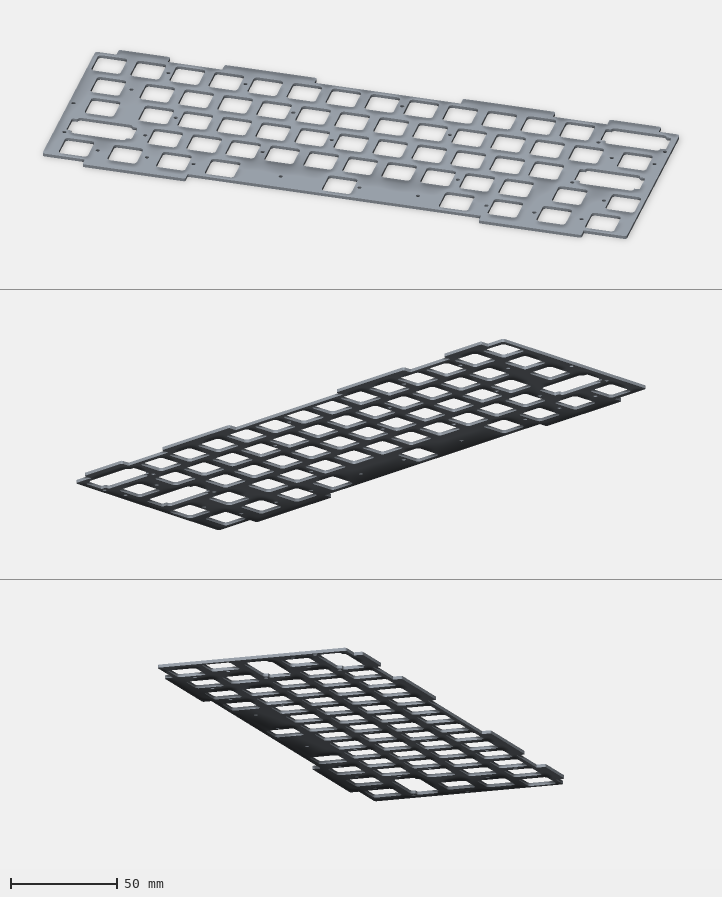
import cadquery as cq

plate_length = 285.5
overall_width = 104.2
thickness = 1.5
row_count = 5
columns = 15
end_trim = 0.3
key_pitch = (plate_length + end_trim) / columns
body_width = 95.5
plate_corner_radius = 1.0

rear_tabs = [(35.7, 80.8), (107.5, 132.5)]
front_tabs = [(71.7, 122.0)]
tab_corner_radius = 0.9

cutout_size = 14.3
cutout_corner_radius = 1.7

wide_body_length = 26.8
wide_wing_length = 32.0
wide_wing_width = 10.5
wing_corner_radius = 0.9
wing_shift = 0.3

hole_diameter = 2.0
stabiliser_hole_offset_x = 16.3
stabiliser_hole_offset_y = 7.0

switch_columns = [
    [0.5 + i for i in range(13)],
    [0.75] + [2 + i for i in range(12)] + [14.25],
    [0.875] + [2.25 + i for i in range(11)],
    [2.75 + i for i in range(10)] + [13.125, 14.5],
    [0.75, 2, 3.25, 4.5, 7.5, 10.5, 11.75, 13, 14.25],
]

wide_keys = [
    (0, 14, [-1, 1]),
    (2, 13.875, [-1]),
    (3, 1.125, [-1]),
]

row_holes_x = [
    [-104.5, -66.8, 9.7],
    [-117.5, -38.3, 38.3, 117.5, 138.2],
    [-140.5, -90.5, -14.3],
    [-100.2, -42.8, 52.5, 124.0],
    [-118.2, -94.2, -71.5, -28.8, 9.7, 38.3, 71.7, 95.0, 118.2],
]


def row_y(row):
    return ((row_count - 1) / 2 - row) * key_pitch


def key_position(row, column):
    x = (column - columns / 2) * key_pitch
    return x, row_y(row)


def rounded_block(length, width, radius):
    """Full-thickness block centred on the Z axis, with rounded upright edges."""
    block = cq.Workplane("XY").box(length, width, thickness, centered=(True, True, False))
    return block.edges("|Z").fillet(radius)


def tab(inner, outer, side_x, side_y):
    """Tab on one long edge; it runs back to the middle of the plate."""
    block = rounded_block(outer - inner, overall_width / 2, tab_corner_radius)
    return block.translate((side_x * (inner + outer) / 2, side_y * overall_width / 4, 0))


def make_plate():
    plate = rounded_block(plate_length, body_width, plate_corner_radius)
    for side_x in (-1, 1):
        for inner, outer in rear_tabs:
            plate = plate.union(tab(inner, outer, side_x, 1))
        for inner, outer in front_tabs:
            plate = plate.union(tab(inner, outer, side_x, -1))
    return plate


def cut_at(plate, cutter, positions):
    return plate.cut(cq.Workplane("XY").pushPoints(positions).eachpoint(cutter.val()))


def cut_switches(plate):
    cutter = rounded_block(cutout_size, cutout_size, cutout_corner_radius)
    positions = [key_position(row, column) for row, keys in enumerate(switch_columns) for column in keys]
    return cut_at(plate, cutter, positions)


def cut_wide_keys(plate):
    body = rounded_block(wide_body_length, cutout_size, cutout_corner_radius)
    wings = rounded_block(wide_wing_length, wide_wing_width, wing_corner_radius)
    cutter = body.union(wings.translate((0, wing_shift, 0)))
    positions = [key_position(row, column) for row, column, _ in wide_keys]
    return cut_at(plate, cutter, positions)


def cut_holes(plate):
    positions = [(x, row_y(row)) for row, holes in enumerate(row_holes_x) for x in holes]
    for row, column, sides in wide_keys:
        x, y = key_position(row, column)
        for side in sides:
            positions.append((x + side * stabiliser_hole_offset_x, y - stabiliser_hole_offset_y))
    hole = cq.Workplane("XY").circle(hole_diameter / 2).extrude(thickness)
    return cut_at(plate, hole, positions)


result = cut_holes(cut_wide_keys(cut_switches(make_plate())))